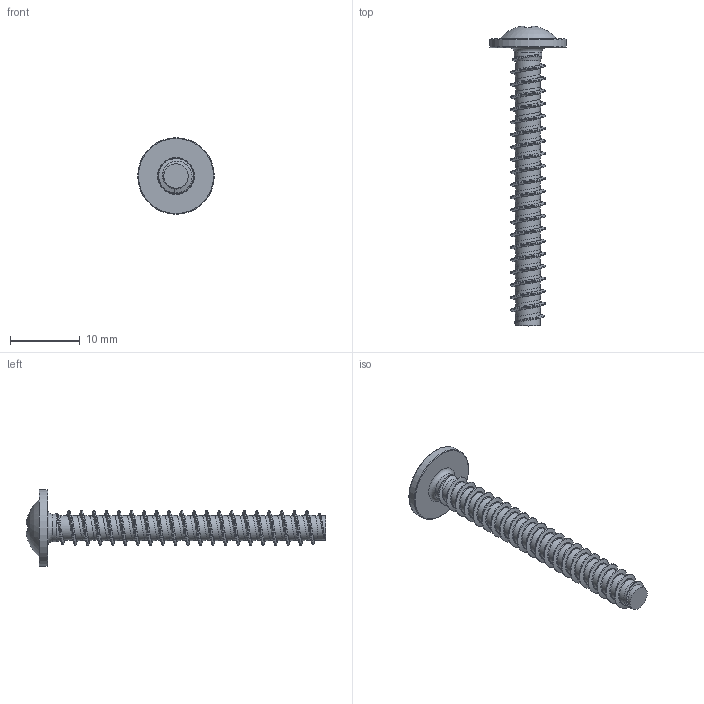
import cadquery as cq
import math

shank_length = 40.0

flange_radius = 5.5
flange_thickness = 1.25
flange_edge_fillet = 0.1
dome_radius = 4.17
dome_height = 1.906

recess_width = 0.9
recess_span = 3.5
recess_depth = 2.0

core_radius = 1.75
neck_radius = 2.0
neck_fillet = 0.65
neck_length = 1.2
neck_taper_length = 0.7

pitch = 1.8
crest_radius = 2.5
crest_width = 0.12
flank_width = 0.4
flank_foot_radius = 1.95
head_foot_end = 0.25
tip_foot_radius = 1.84
tip_foot_start = 0.28
tip_foot_end = 1.4
root_burial = 0.03
thread_root_radius = core_radius - root_burial
crest_y_at_plus_x = -4.4
thread_start_y = -0.9
thread_full_start_y = -2.9
thread_full_end_y = -37.5
thread_end_gap = 0.1
thread_end_y = -shank_length + thread_end_gap
start_sink = 0.55
end_sink = 0.8
steps_per_turn = 16


def make_blank():
    """Head, neck and core revolved about Y."""
    dome_base_y = flange_thickness
    apex_y = flange_thickness + dome_height
    sphere_radius = (dome_radius**2 + dome_height**2) / (2 * dome_height)
    half_angle = math.asin(dome_radius / sphere_radius) / 2
    arc_mid = (
        sphere_radius * math.sin(half_angle),
        apex_y - sphere_radius * (1 - math.cos(half_angle)),
    )
    rim_radius = flange_radius - flange_edge_fillet
    taper_end_y = -neck_length - neck_taper_length
    return (
        cq.Workplane("XY")
        .moveTo(0, apex_y)
        .threePointArc(arc_mid, (dome_radius, dome_base_y))
        .lineTo(rim_radius, dome_base_y)
        .radiusArc((flange_radius, dome_base_y - flange_edge_fillet), flange_edge_fillet)
        .lineTo(flange_radius, flange_edge_fillet)
        .radiusArc((rim_radius, 0), flange_edge_fillet)
        .lineTo(neck_radius + neck_fillet, 0)
        .radiusArc((neck_radius, -neck_fillet), -neck_fillet)
        .lineTo(neck_radius, -neck_length)
        .lineTo(core_radius, taper_end_y)
        .lineTo(core_radius, -shank_length)
        .lineTo(0, -shank_length)
        .close()
        .revolve(360, (0, 0, 0), (0, 1, 0))
    )


def thread_sink(y):
    """Radial drop of the thread profile: zero on the full thread, easing in at both ends."""
    if y > thread_full_start_y:
        run = (y - thread_full_start_y) / (thread_start_y - thread_full_start_y)
        drop = start_sink
    elif y < thread_full_end_y:
        run = (y - thread_full_end_y) / (thread_end_y - thread_full_end_y)
        drop = end_sink
    else:
        return 0.0
    return drop * (1 - math.cos(math.pi / 2 * run))


def helix_edge(offset, radius, low_y, high_y):
    """Curve traced by one corner of the thread profile between two positions along the axis."""
    points = []
    for i in range(steps_per_turn + 1):
        y = low_y + (high_y - low_y) * i / steps_per_turn
        angle = 2 * math.pi * (y - crest_y_at_plus_x) / pitch
        r = radius - thread_sink(y)
        points.append(cq.Vector(r * math.cos(angle), y + offset, -r * math.sin(angle)))
    return cq.Edge.makeSpline(points)


def make_thread_turn(low_y, high_y):
    """Solid piece of thread ridge bounded by ruled faces between neighbouring profile corners."""
    profile = [
        (head_foot_end, thread_root_radius),
        (flank_width / 2, flank_foot_radius),
        (crest_width / 2, crest_radius),
        (-crest_width / 2, crest_radius),
        (-flank_width / 2, flank_foot_radius),
        (-tip_foot_start, tip_foot_radius),
        (-tip_foot_end, thread_root_radius),
    ]
    edges = [helix_edge(offset, radius, low_y, high_y) for offset, radius in profile]
    faces = []
    for edge, next_edge in zip(edges, edges[1:] + edges[:1]):
        faces.append(cq.Face.makeRuledSurface(edge, next_edge))
    for end in (0, 1):
        corners = [edge.positionAt(end) for edge in edges]
        faces.append(cq.Face.makeFromWires(cq.Wire.makePolygon(corners, close=True)))
    return cq.Solid.makeSolid(cq.Shell.makeShell(faces))


def make_thread():
    """Equal pieces of about one turn each, laid end to end from the tip to the head."""
    turn_count = math.ceil((thread_start_y - thread_end_y) / pitch)
    turn_advance = (thread_start_y - thread_end_y) / turn_count
    turns = []
    for i in range(turn_count):
        low_y = thread_end_y + i * turn_advance
        turns.append(make_thread_turn(low_y, low_y + turn_advance))
    return turns


def make_recess():
    """Cross recess cut down from the dome's apex."""
    apex_y = flange_thickness + dome_height
    center = (0, apex_y - recess_depth / 2, 0)
    wing = cq.Workplane("XY").box(recess_span, recess_depth, recess_width)
    cross_wing = cq.Workplane("XY").box(recess_width, recess_depth, recess_span)
    return wing.union(cross_wing).translate(center)


def make_tip_trim():
    """Disc beyond the tip face that removes any thread overrunning it."""
    return (
        cq.Workplane("XZ", origin=(0, -shank_length, 0))
        .circle(flange_radius)
        .extrude(pitch)
    )


blank = make_blank().cut(make_recess())
threaded = cq.Workplane(blank.val().fuse(*make_thread()))
result = cq.Workplane(threaded.cut(make_tip_trim()).solids().val())